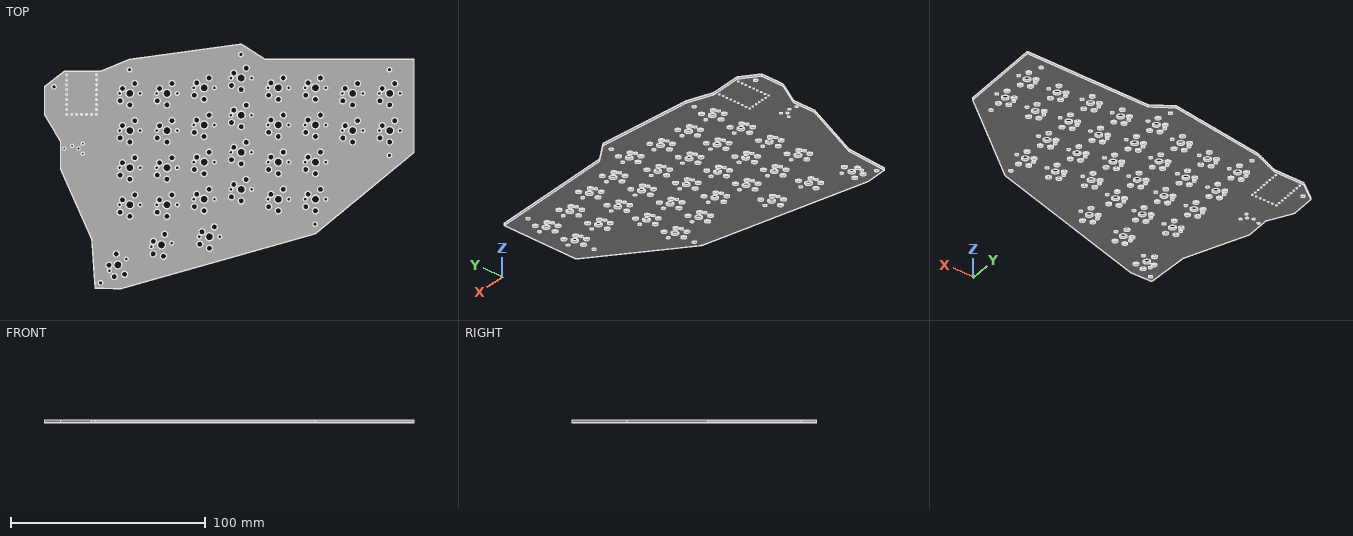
import cadquery as cq
import math


BOARD_LENGTH = 189.65
BOARD_WIDTH = 125.7
BOARD_THICKNESS = 1.51

RIGHT = BOARD_LENGTH / 2
LEFT = -RIGHT
BACK = BOARD_WIDTH / 2
FRONT = -BACK

CONTROLLER_EDGE_Y = 48.95
JACK_EDGE_X = -86.65
RIGHT_BACK_EDGE_Y = 55.1
OUTLINE = [
    (-84.6, CONTROLLER_EDGE_Y),
    (-65.9, CONTROLLER_EDGE_Y),
    (-51.2, 55.0),
    (6.2, BACK),
    (18.3, RIGHT_BACK_EDGE_Y),
    (RIGHT, RIGHT_BACK_EDGE_Y),
    (RIGHT, 7.1),
    (44.2, -34.6),
    (-55.8, FRONT),
    (-68.9, -62.5),
    (-70.6, -37.4),
    (JACK_EDGE_X, -1.3),
    (JACK_EDGE_X, 12.85),
    (LEFT, 26.6),
    (LEFT, 41.0),
]

CENTER_POST_DIAMETER = 3.99
SIDE_POST_DIAMETER = 1.9
SIDE_POST_OFFSET = 5.29
PIN_DIAMETER = 3.0
PIN_OFFSETS = [(2.54, 5.08), (-3.81, 2.54), (0, -5.9), (-5.0, -3.8)]

KEY_PITCH = 19.05
FIRST_COLUMN_X = -51.0
FRONT_ROW_Y = -19.68
COLUMN_SHIFTS = [0, 0, 2.86, 7.9, 2.86, 2.86, 0, 0]
ROW_COUNT = 4
FIRST_SHORT_COLUMN = 6
SHORT_COLUMN_FIRST_ROW = 2

THUMB_KEYS = [(-10.17, -36.08, 0), (-34.77, -40.28, 10), (-57.12, -50.53, 35)]

PAD_DIAMETER = 0.8
PAD_PITCH = 2.54
PADS_PER_SIDE = 9
PADS_ACROSS = 7
FIRST_PAD_X = -83.4
BACK_PAD_Y = 47.0

JACK_HOLE_DIAMETER = 1.5
JACK_HOLES = [(-84.72, 9.17), (-80.62, 10.57), (-77.37, 9.22), (-75.22, 11.67), (-75.22, 6.57)]

MOUNTING_DIAMETER = 2.2
MOUNTING_HOLES = [
    (5.98, 57.47),
    (-51.22, 49.67),
    (82.18, 49.67),
    (-89.92, 40.87),
    (82.18, 5.67),
    (44.08, -29.63),
    (-66.02, -59.73),
]


def drill(board, points, diameter):
    """Drill holes right through the board."""
    cutter = (
        cq.Workplane("XY")
        .pushPoints(points)
        .circle(diameter / 2)
        .extrude(BOARD_THICKNESS)
    )
    return board.cut(cutter)


def finger_keys():
    """Centres of the finger keys, each with no turn."""
    keys = []
    for column, shift in enumerate(COLUMN_SHIFTS):
        first_row = SHORT_COLUMN_FIRST_ROW if column >= FIRST_SHORT_COLUMN else 0
        for row in range(first_row, ROW_COUNT):
            x = FIRST_COLUMN_X + column * KEY_PITCH
            y = FRONT_ROW_Y + shift + row * KEY_PITCH
            keys.append((x, y, 0))
    return keys


def place_on_keys(keys, offsets):
    """Points at the given offsets from every key centre, turned with the key."""
    points = []
    for x, y, turn in keys:
        cosine = math.cos(math.radians(turn))
        sine = math.sin(math.radians(turn))
        for dx, dy in offsets:
            points.append((x + dx * cosine - dy * sine, y + dx * sine + dy * cosine))
    return points


def controller_pads():
    """Pad centres of the controller's U."""
    front_row = PADS_PER_SIDE - 1
    pads = []
    for row in range(PADS_PER_SIDE):
        for column in range(PADS_ACROSS):
            on_side = column in (0, PADS_ACROSS - 1)
            if on_side or row == front_row:
                pads.append((FIRST_PAD_X + column * PAD_PITCH, BACK_PAD_Y - row * PAD_PITCH))
    return pads


board = cq.Workplane("XY").polyline(OUTLINE).close().extrude(BOARD_THICKNESS)

keys = finger_keys() + THUMB_KEYS
side_posts = [(-SIDE_POST_OFFSET, 0), (SIDE_POST_OFFSET, 0)]
board = drill(board, place_on_keys(keys, [(0, 0)]), CENTER_POST_DIAMETER)
board = drill(board, place_on_keys(keys, side_posts), SIDE_POST_DIAMETER)
board = drill(board, place_on_keys(keys, PIN_OFFSETS), PIN_DIAMETER)
board = drill(board, controller_pads(), PAD_DIAMETER)
board = drill(board, JACK_HOLES, JACK_HOLE_DIAMETER)
board = drill(board, MOUNTING_HOLES, MOUNTING_DIAMETER)

result = board